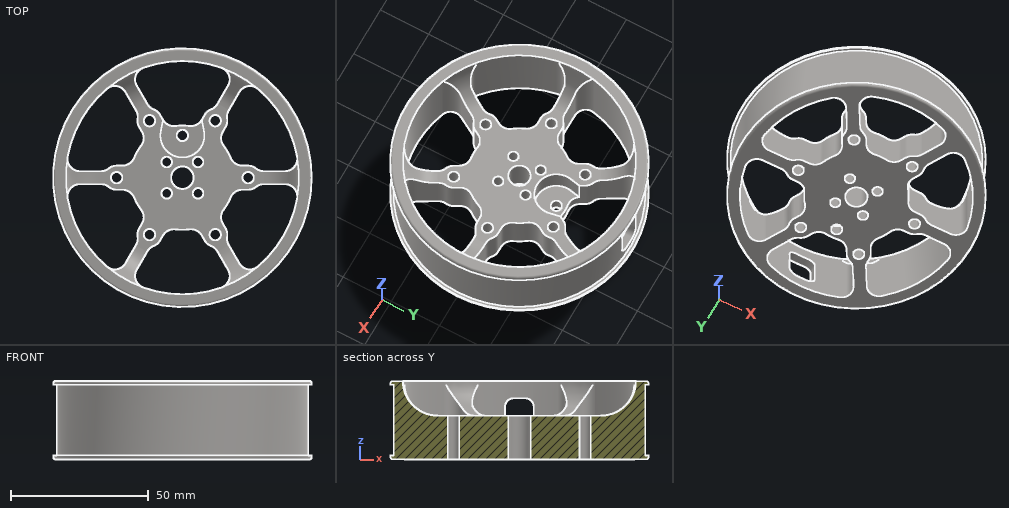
import cadquery as cq
import math

width = 28.6
flange_radius = 47.0
drum_radius = 45.8
bore_radius = 42.3
flange_thickness = 1.5
flange_round = 0.9

hub_height = 16.0
hub_radius = 19.0
spoke_count = 6
spoke_pitch = 360 / spoke_count
spoke_width = 4.8
spoke_rise = width - hub_height

boss_circle_radius = 23.9
boss_radius = 4.4
bolt_hole_diameter = 4.0

root_round = 4.5
neck_round = 4.5
rim_round = 4.4

centre_hole_diameter = 8.1
mount_hole_diameter = 3.8
mount_hole_spacing = 11.4

recess_radius = 8.0
recess_offset = 15.3
recess_floor = 6.0
recess_taper = 11

slot_width = 10.3
slot_bottom = 6.3
slot_top = 22.2
slot_round = 3.0


def make_blank():
    """Solid of revolution: rim, flanges and a web that sweeps up to the rim."""
    sweep_start = bore_radius - spoke_rise
    sweep_diagonal = spoke_rise * math.sin(math.radians(45))
    sweep_mid = (sweep_start + sweep_diagonal, width - sweep_diagonal)
    body = (
        cq.Workplane("XZ")
        .lineTo(flange_radius, 0)
        .lineTo(flange_radius, flange_thickness)
        .lineTo(drum_radius, flange_thickness)
        .lineTo(drum_radius, width - flange_thickness)
        .lineTo(flange_radius, width - flange_thickness)
        .lineTo(flange_radius, width)
        .lineTo(bore_radius, width)
        .threePointArc(sweep_mid, (sweep_start, hub_height))
        .lineTo(0, hub_height)
        .close()
        .revolve(360, (0, 0, 0), (0, 1, 0))
    )
    outer_edges = cq.selectors.RadiusNthSelector(-1)
    return body.faces("<Z or >Z").edges(outer_edges).fillet(flange_round)


def disc(radius, height):
    return cq.Workplane("XY").circle(radius).extrude(height)


def spoke_bar(length, bar_width, angle):
    bar = cq.Workplane("XY").rect(length, bar_width).extrude(width)
    return bar.translate((length / 2, 0, 0)).rotate((0, 0, 0), (0, 0, 1), angle)


def round_corners(body, corner_radius, rounding):
    """Round the vertical edges that stand at the given distance from the axis."""
    def is_corner(edge):
        centre = edge.Center()
        return math.isclose(math.hypot(centre.x, centre.y), corner_radius, abs_tol=0.01)

    return body.edges("|Z").filter(is_corner).fillet(rounding)


def make_window():
    """The gap between the spokes at 0 and at one pitch, with rounded corners."""
    pitch = math.radians(spoke_pitch)
    sector = (
        cq.Workplane("XY")
        .lineTo(bore_radius, 0)
        .radiusArc((bore_radius * math.cos(pitch), bore_radius * math.sin(pitch)), -bore_radius)
        .close()
        .extrude(width)
    )
    window = sector.cut(disc(hub_radius, width))
    for angle in (0, spoke_pitch):
        boss = disc(boss_radius, width).translate((boss_circle_radius, 0, 0))
        window = window.cut(boss.rotate((0, 0, 0), (0, 0, 1), angle))
        window = window.cut(spoke_bar(boss_circle_radius, 2 * boss_radius, angle))
        window = window.cut(spoke_bar(flange_radius, spoke_width, angle))
    half_spoke = spoke_width / 2
    neck_x = boss_circle_radius + math.sqrt(boss_radius**2 - half_spoke**2)
    neck_radius = math.hypot(neck_x, half_spoke)
    window = round_corners(window, bore_radius, rim_round)
    window = round_corners(window, neck_radius, neck_round)
    return round_corners(window, hub_radius, root_round)


def make_recess():
    """Round pocket, open towards +Y, between two straight walls tangent to its arc."""
    taper = math.radians(recess_taper)
    tangent_x = recess_radius * math.cos(taper)
    tangent_y = recess_offset + recess_radius * math.sin(taper)
    open_y = boss_circle_radius
    open_x = tangent_x - (open_y - tangent_y) * math.tan(taper)
    return (
        cq.Workplane("XY", origin=(0, 0, recess_floor))
        .moveTo(-open_x, open_y)
        .lineTo(-tangent_x, tangent_y)
        .threePointArc((0, recess_offset - recess_radius), (tangent_x, tangent_y))
        .lineTo(open_x, open_y)
        .close()
        .extrude(hub_height - recess_floor)
    )


def make_holes():
    """Every hole that runs parallel to the axis."""
    base = cq.Workplane("XY")
    holes = base.circle(centre_hole_diameter / 2).extrude(width)
    mount_holes = (
        base.rect(mount_hole_spacing, mount_hole_spacing, forConstruction=True)
        .vertices()
        .circle(mount_hole_diameter / 2)
        .extrude(width)
    )
    bolt_holes = (
        base.polarArray(boss_circle_radius, 0, 360, spoke_count)
        .circle(bolt_hole_diameter / 2)
        .extrude(width)
    )
    recess_hole = disc(bolt_hole_diameter / 2, width).translate((0, recess_offset, 0))
    return holes.add(mount_holes).add(bolt_holes).add(recess_hole).combine()


def make_slot():
    """Rounded rectangular cutter through the +Y wall of the rim."""
    slot_start = recess_offset + recess_radius
    return (
        cq.Workplane("XY")
        .box(slot_width, flange_radius - slot_start, slot_top - slot_bottom, centered=(True, False, False))
        .edges("|Y")
        .fillet(slot_round)
        .translate((0, slot_start, slot_bottom))
    )


wheel = make_blank()
window = make_window()
for i in range(spoke_count):
    wheel = wheel.cut(window.rotate((0, 0, 0), (0, 0, 1), i * spoke_pitch))
wheel = wheel.cut(make_recess())
wheel = wheel.cut(make_holes())
result = wheel.cut(make_slot())